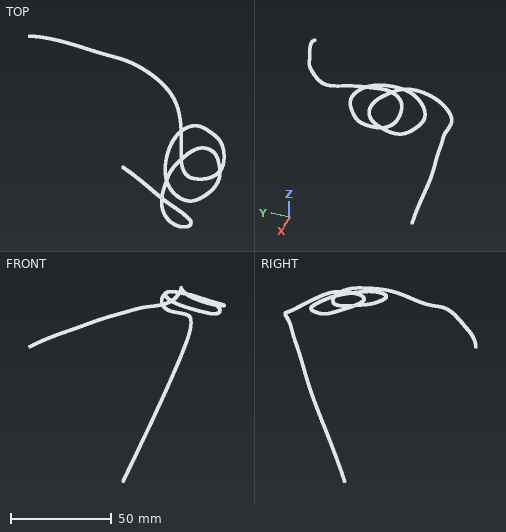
import cadquery as cq


wire_diameter = 1.0
sweep_piece_count = 24

tail = [
    (-48.7, 47.4, 18.9),
    (-38.1, 46.0, 23.8),
    (-26.0, 42.9, 28.1),
    (-11.1, 38.3, 33.4),
    (0.2, 34.8, 36.6),
    (7.6, 31.1, 38.6),
    (14.4, 26.4, 39.4),
    (21.3, 19.3, 41.4),
    (25.1, 11.8, 44.5),
    (26.8, 2.4, 47.4),
    (27.1, -6.9, 48.2),
    (27.2, -16.3, 47.75),
]

upper_coil = [
    (30.1, -22.3, 44.9),
    (36.5, -24.0, 42.0),
    (42.9, -22.7, 40.1),
    (46.7, -19.5, 39.4),
    (48.3, -11.4, 39.7),
    (46.7, -5.5, 40.3),
    (42.2, -1.0, 41.6),
    (34.2, 2.6, 44.0),
    (27.9, 0.6, 45.7),
    (22.5, -5.6, 46.6),
    (19.5, -14.4, 45.9),
    (19.6, -24.2, 43.9),
]

lower_coil = [
    (23.9, -31.5, 40.9),
    (31.7, -34.9, 38.1),
    (39.1, -32.0, 36.1),
    (44.0, -27.5, 35.4),
    (46.3, -21.9, 36.7),
    (45.9, -16.6, 38.4),
    (43.6, -11.1, 40.5),
    (37.7, -8.4, 42.9),
    (32.0, -10.3, 44.8),
    (26.8, -14.4, 45.9),
    (21.5, -20.45, 46.6),
]

hook = [
    (19.4, -25.6, 45.9),
    (17.3, -33.2, 42.9),
    (17.6, -38.7, 40.1),
    (20.7, -44.4, 37.2),
    (28.3, -47.8, 35.4),
]

lead = [
    (30.9, -47.4, 34.3),
    (31.9, -45.7, 31.3),
    (31.2, -44.2, 26.4),
    (28.7, -41.8, 18.9),
    (20.7, -36.1, 0.2),
    (8.6, -26.2, -26.0),
    (-2.1, -18.1, -48.2),
]


def smooth_centreline(points):
    """One smooth curve through all the points."""
    return cq.Edge.makeSpline([cq.Vector(*point) for point in points])


def split_evenly(curve, piece_count):
    """Join the curve again from short pieces, so that the swept wire keeps its full thickness."""
    pieces = []
    for index in range(piece_count):
        piece_start = curve.paramAt(index / piece_count)
        piece_end = curve.paramAt((index + 1) / piece_count)
        pieces.append(curve.trim(piece_start, piece_end))
    return cq.Wire.assembleEdges(pieces)


centreline = smooth_centreline(tail + upper_coil + lower_coil + hook + lead)
path = split_evenly(centreline, sweep_piece_count)
end_plane = cq.Plane(origin=centreline.startPoint(), normal=centreline.tangentAt(0))

result = cq.Workplane(end_plane).circle(wire_diameter / 2).sweep(cq.Workplane(path))